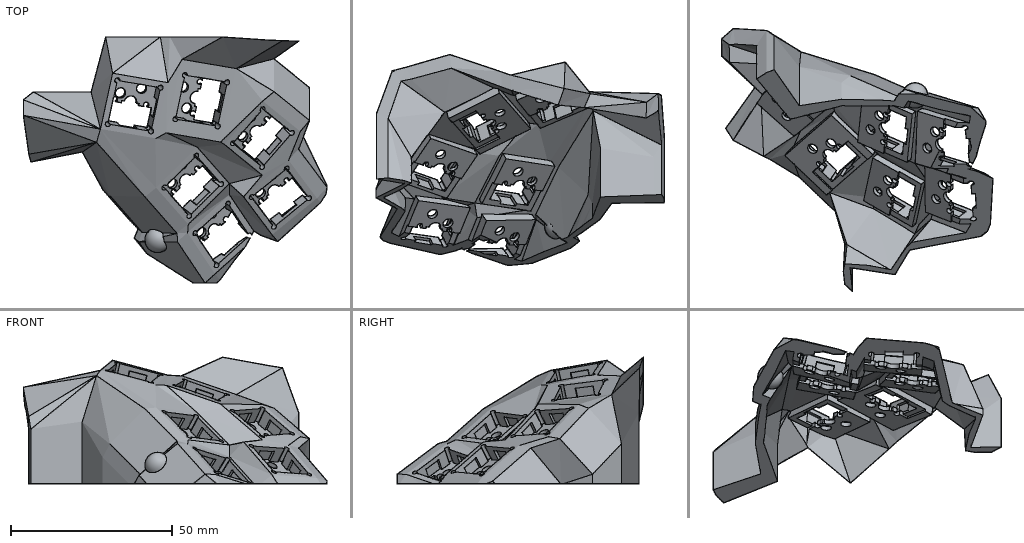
import cadquery as cq

SHELL_THICKNESS = 4.05
DOWNWARD_BIAS = 1.2
KEY_SIZE = 18.0
LONG_KEY_SIZE = 23.5

POCKET_SIZE = 14.0
POCKET_DEPTH = 5.2
HOLDER_DEPTH = 6.6
OPEN_SIDE_DEPTH = 5.9
CORNER_RELIEF_DIAMETER = 1.6
CLIP_WIDTH = 5.65
CLIP_TOP_DEPTH = 1.5
CLIP_RECESS = 0.9
FLOOR_EDGE = -0.7
PIN_HOLE_DIAMETER = 3.2
PIN_HOLES = [(-3.8, 2.4), (2.5, 4.9)]
STEM_HOLE_DIAMETER = 4.0
GUIDE_HOLE_DIAMETER = 1.7
GUIDE_HOLE_OFFSET = 5.1

BALL_RADIUS = 4.0
BALL_CENTER = (41.6, 13.4, 5.8)

FOOT = -7.5
TRIM_WIDTH = 282.6
TRIM_DEPTH = 37.7


def key_plane(center, along_x, along_y):
    """Frame of a key: local x runs along `along_x`, local z leaves the upper face."""
    x_dir = cq.Vector(*along_x)
    return cq.Plane(center, x_dir, x_dir.cross(cq.Vector(*along_y)))


KEYS = {
    "A": key_plane((34.4, 54.9, 34.5), (18.3, -3.1, -4.9), (4.0, 18.5, 3.3)),
    "B": key_plane((55.2, 56.5, 29.1), (5.2, 24.2, 3.1), (-17.8, 2.9, 6.1)),
    "C": key_plane((74.1, 44.9, 19.1), (12.3, 14.1, 1.0), (-12.0, 10.0, 10.4)),
    "D": key_plane((52.6, 30.1, 17.8), (13.4, 13.3, -1.7), (-10.5, 11.6, 10.4)),
    "E": key_plane((61.7, 15.1, 5.65), (13.2, 11.9, -4.1), (-9.2, 13.3, 10.1)),
    "F": key_plane((79.7, 26.5, 7.3), (14.9, 12.1, -1.1), (-9.5, 12.3, 10.8)),
}


def key_length(key):
    return LONG_KEY_SIZE if key == "B" else KEY_SIZE


points = {}
for key, plane in KEYS.items():
    for x_sign, x_name in ((-1, "-"), (1, "+")):
        for y_sign, y_name in ((-1, "-"), (1, "+")):
            local = (x_sign * key_length(key) / 2, y_sign * KEY_SIZE / 2, 0)
            points[key + x_name + y_name] = plane.toWorldCoords(local)


def place(name, x, y, z):
    points[name] = cq.Vector(x, y, z)


def offset(name, source, dx, dy, dz):
    points[name] = points[source] + cq.Vector(dx, dy, dz)


def foot(name, source):
    """Point straight below `source` at the foot of the wall."""
    points[name] = cq.Vector(points[source].x, points[source].y, FOOT)


place("fin back", 3.1, 59.2, 24.9)
place("fin ridge", 0.0, 56.8, 28.5)
place("fin tip", 0.0, 52.0, 29.95)
place("fin end", 1.7, 39.9, 20.9)
place("fin corner", 2.4, 37.5, 17.0)
place("fin shoulder", 22.7, 43.6, 33.5)
place("fin root", 18.3, 40.6, 19.2)
place("fin root low", 18.3, 40.6, 13.75)
foot("fin end foot", "fin end")
foot("fin corner foot", "fin corner")
foot("fin root foot", "fin root")

D_BROW = (-3.5, -2.8, -0.4)
E_BROW = (-3.1, -2.8, 0.1)
D_SLOPE = (-10.8, 0.4, -10.9)
E_SLOPE = (-12.0, 0.0, -9.8)
SKIRT = (-2.3, 1.9, -4.1)
offset("D brow left", "D-+", *D_BROW)
offset("D brow right", "D--", *D_BROW)
offset("E brow left", "E-+", *E_BROW)
offset("E brow right", "E--", *E_BROW)
offset("D slope left", "D brow left", *D_SLOPE)
offset("D slope right", "D brow right", *D_SLOPE)
offset("E slope left", "E brow left", *E_SLOPE)
offset("E slope right", "E brow right", *E_SLOPE)
offset("D skirt left", "D slope left", *SKIRT)
offset("D skirt right", "D slope right", *SKIRT)
offset("E skirt left", "E slope left", *SKIRT)
offset("E skirt right", "E slope right", *SKIRT)
foot("D foot left", "D skirt left")
foot("D foot right", "D skirt right")

F_TOE = (2.1, -2.45, -3.3)
place("E toe left", 61.7, 0.0, -1.4)
offset("E toe right", "E+-", 0.9, -2.1, -2.8)
offset("F toe left", "F--", *F_TOE)
offset("F toe right", "F+-", *F_TOE)

C_BROW_REACH = 4.4
C_BROW_BACK = 7.6
C_BROW_FRONT = -9.4
C_BROW_DROP = 0.8
F_BROW = (3.1, 3.4, -0.85)
C_SLOPE = (0.0, 10.2, -11.0)
F_SLOPE = (-1.1, 9.4, -11.3)
for brow, along_edge in (("C brow back", C_BROW_BACK), ("C brow front", C_BROW_FRONT)):
    local = (KEY_SIZE / 2 + C_BROW_REACH, along_edge, -C_BROW_DROP)
    points[brow] = KEYS["C"].toWorldCoords(local)
offset("F brow back", "F++", *F_BROW)
offset("F brow front", "F+-", *F_BROW)
offset("C slope back", "C brow back", *C_SLOPE)
offset("C slope front", "C brow front", *C_SLOPE)
offset("F slope back", "F brow back", *F_SLOPE)
offset("F slope front", "F brow front", *F_SLOPE)
foot("C foot back", "C slope back")
foot("C foot front", "C slope front")
foot("F foot back", "F slope back")

place("left eave", 21.0, 59.2, 29.4)
place("back left", 25.5, 76.3, 24.4)
place("back valley", 42.5, 76.3, 30.5)
place("back ridge", 45.5, 76.3, 31.9)
place("peak", 61.8, 76.3, 39.3)
place("wing top", 75.7, 75.35, 36.7)
place("wing shoulder", 80.3, 75.2, 36.0)
place("wing tip", 85.4, 75.0, 21.9)
foot("wing foot", "wing tip")

EAVE_SHIFT = (0.0, -1.2, -4.7)
FIN_END_SHIFT = (0.0, 4.05, -4.2)
FIN_CORNER_SHIFT = (1.9, 6.8, -4.2)
FIN_ROOT_SHIFT = (2.4, 5.65, -2.8)
WING_END_SHIFT = (-3.8, 0.0, -1.9)
RIM_SHIFTS = {
    "fin back": (0.8, -2.5, -4.2),
    "fin ridge": (0.5, -2.7, -4.6),
    "fin tip": (0.85, -0.2, -7.2),
    "fin end": FIN_END_SHIFT,
    "fin end foot": FIN_END_SHIFT,
    "fin corner": FIN_CORNER_SHIFT,
    "fin corner foot": FIN_CORNER_SHIFT,
    "fin root": FIN_ROOT_SHIFT,
    "fin root low": FIN_ROOT_SHIFT,
    "fin root foot": FIN_ROOT_SHIFT,
    "left eave": (1.9, 0.0, -4.5),
    "back left": (2.2, -1.2, -4.9),
    "back valley": EAVE_SHIFT,
    "back ridge": EAVE_SHIFT,
    "peak": (-0.5, 0.0, -4.7),
    "wing top": (-1.4, 0.0, -4.2),
    "wing shoulder": (-2.8, 0.0, -3.8),
    "wing tip": WING_END_SHIFT,
    "wing foot": WING_END_SHIFT,
}

KEY_FACETS = [[k + "--", k + "+-", k + "++", k + "-+"] for k in KEYS]
WEB_FACETS = [
    ["A+-", "B-+", "A++"], ["B-+", "B++", "A++"],
    ["A+-", "D++", "B-+"], ["A+-", "D-+", "D++"], ["A--", "D-+", "A+-"],
    ["B-+", "D++", "C-+"], ["B-+", "C-+", "B--"],
    ["B--", "C-+", "C++"], ["B--", "C++", "B+-"],
    ["D++", "C--", "C-+"], ["D++", "D+-", "C--"],
    ["D+-", "F-+", "C--"], ["C--", "F-+", "F++"], ["C--", "F++", "C+-"],
    ["D+-", "E++", "F-+"], ["D--", "E-+", "E++"], ["D--", "E++", "D+-"],
    ["E++", "E+-", "F--"], ["E++", "F--", "F-+"],
]
FIN_FACETS = [
    ["fin back", "A--", "left eave"], ["fin ridge", "A--", "fin back"],
    ["fin tip", "A--", "fin ridge"], ["fin tip", "fin shoulder", "A--"],
    ["fin end", "fin shoulder", "fin tip"], ["fin corner", "fin shoulder", "fin end"],
    ["fin corner", "fin root", "fin shoulder"],
    ["fin end", "fin end foot", "fin corner foot", "fin corner"],
    ["fin corner", "fin corner foot", "fin root low", "fin root"],
    ["fin corner foot", "fin root foot", "fin root low"],
]
FRONT_FACETS = [
    ["A--", "D brow left", "D-+"], ["A--", "fin shoulder", "D brow left"],
    ["fin shoulder", "fin root", "D slope left"],
    ["fin shoulder", "D slope left", "D brow left"],
    ["fin root", "fin root low", "D skirt left"], ["fin root", "D skirt left", "D slope left"],
    ["fin root low", "fin root foot", "D foot left", "D skirt left"],
    ["D-+", "D brow left", "D brow right", "D--"],
    ["D brow left", "D slope left", "D slope right", "D brow right"],
    ["D slope left", "D skirt left", "D skirt right", "D slope right"],
    ["D skirt left", "D foot left", "D foot right", "D skirt right"],
    ["D brow right", "E-+", "D--"], ["D brow right", "E brow left", "E-+"],
    ["D brow right", "D slope right", "E slope left", "E brow left"],
    ["D slope right", "D skirt right", "E skirt left", "E slope left"],
    ["E-+", "E brow left", "E brow right", "E--"],
    ["E brow left", "E slope left", "E slope right", "E brow right"],
    ["E slope left", "E skirt left", "E skirt right", "E slope right"],
    ["E--", "E brow right", "E toe left"], ["E brow right", "E slope right", "E toe left"],
    ["E--", "E toe left", "E toe right", "E+-"],
    ["E+-", "E toe right", "F toe left", "F--"],
    ["F--", "F toe left", "F toe right", "F+-"],
]
RIGHT_FACETS = [
    ["F+-", "F toe right", "F brow front"], ["F+-", "F brow front", "F brow back", "F++"],
    ["F brow front", "F toe right", "F slope front"],
    ["F brow back", "F brow front", "F slope front", "F slope back"],
    ["C+-", "F++", "F brow back"], ["C+-", "F brow back", "C brow front"],
    ["C brow front", "F brow back", "F slope back"],
    ["C brow front", "F slope back", "C slope front"],
    ["C slope front", "F slope back", "F foot back", "C foot front"],
    ["C+-", "C brow front", "C brow back", "C++"],
    ["C brow back", "C brow front", "C slope front", "C slope back"],
    ["C slope back", "C slope front", "C foot front", "C foot back"],
    ["B+-", "C++", "C brow back"], ["B+-", "C brow back", "C slope back"],
]
BACK_FACETS = [
    ["left eave", "A--", "A-+"], ["left eave", "A-+", "back left"],
    ["A-+", "back valley", "back left"], ["A-+", "A++", "back valley"],
    ["A++", "back ridge", "back valley"], ["A++", "B++", "back ridge"],
    ["B++", "peak", "back ridge"], ["B++", "B+-", "peak"],
    ["B+-", "wing top", "peak"], ["B+-", "wing shoulder", "wing top"],
    ["B+-", "wing tip", "wing shoulder"], ["B+-", "C slope back", "wing tip"],
    ["wing tip", "C slope back", "C foot back", "wing foot"],
]


def triangles(facets):
    """Split four-sided facets along their first diagonal."""
    for facet in facets:
        for second, third in zip(facet[1:], facet[2:]):
            yield facet[0], second, third


def facet_normal(facet):
    first, second, third = (points[name] for name in facet)
    return (second - first).cross(third - first).normalized()


def inner_points(facets):
    """Move each corner inwards against the mean facet direction, biased downwards."""
    sums = {name: cq.Vector() for name in points}
    for facet in triangles(facets):
        for name in facet:
            sums[name] += facet_normal(facet)
    inner = {}
    for name, corner in points.items():
        outward = (sums[name].normalized() + cq.Vector(0, 0, DOWNWARD_BIAS)).normalized()
        inner[name] = corner - outward * SHELL_THICKNESS
    for name, shift in RIM_SHIFTS.items():
        inner[name] = points[name] + cq.Vector(*shift)
    return inner


def polygon_face(corners):
    return cq.Face.makeFromWires(cq.Wire.makePolygon(corners, close=True))


def faceted_shell(facets):
    """Closed solid between the outer facets, their inward copies and the open rims."""
    inner = inner_points(facets)
    pieces = list(triangles(facets))
    edges = {(a, b) for piece in pieces for a, b in zip(piece, piece[1:] + piece[:1])}
    faces = []
    for piece in pieces:
        faces.append(polygon_face([points[name] for name in piece]))
        faces.append(polygon_face([inner[name] for name in reversed(piece)]))
    for a, b in sorted(edges):
        if (b, a) not in edges:
            faces.append(polygon_face([points[b], points[a], inner[a]]))
            faces.append(polygon_face([points[b], inner[a], inner[b]]))
    return cq.Solid.makeSolid(cq.Shell.makeShell(faces))


def holder_block(key):
    """Solid block under the upper face of a key."""
    return cq.Workplane(KEYS[key]).rect(key_length(key), KEY_SIZE).extrude(-HOLDER_DEPTH)


def switch_pocket():
    """Everything removed from a holder, in the frame of the key."""
    corner = POCKET_SIZE / 2
    pocket = cq.Workplane().rect(POCKET_SIZE, POCKET_SIZE).extrude(-POCKET_DEPTH)
    reliefs = (
        cq.Workplane().rect(POCKET_SIZE, POCKET_SIZE, forConstruction=True).vertices()
        .circle(CORNER_RELIEF_DIAMETER / 2).extrude(-POCKET_DEPTH)
    )
    clip_length = POCKET_SIZE + 2 * CLIP_RECESS
    clip_plane = cq.Workplane().workplane(offset=-CLIP_TOP_DEPTH)
    clip_height = POCKET_DEPTH - CLIP_TOP_DEPTH
    clips = clip_plane.rect(clip_length, CLIP_WIDTH).extrude(-clip_height)
    clips = clips.union(clip_plane.rect(CLIP_WIDTH, clip_length).extrude(-clip_height))
    through = 2 * HOLDER_DEPTH
    half_opening = (
        cq.Workplane().center(0, (FLOOR_EDGE - corner) / 2)
        .rect(POCKET_SIZE, corner + FLOOR_EDGE).extrude(-through)
    )
    clip_opening = (
        clip_plane.center(0, -clip_length / 4).rect(CLIP_WIDTH, clip_length / 2).extrude(-through)
    )
    underside = (
        cq.Workplane().workplane(offset=-OPEN_SIDE_DEPTH).center(0, (FLOOR_EDGE - KEY_SIZE / 2) / 2)
        .rect(KEY_SIZE, KEY_SIZE / 2 + FLOOR_EDGE).extrude(OPEN_SIDE_DEPTH - through)
    )
    holes = cq.Workplane().pushPoints(PIN_HOLES).circle(PIN_HOLE_DIAMETER / 2).extrude(-through)
    stem = cq.Workplane().circle(STEM_HOLE_DIAMETER / 2).extrude(-through)
    guides = (
        cq.Workplane().pushPoints([(-GUIDE_HOLE_OFFSET, 0), (GUIDE_HOLE_OFFSET, 0)])
        .circle(GUIDE_HOLE_DIAMETER / 2).extrude(-through)
    )
    cutter = pocket
    for tool in (reliefs, clips, half_opening, clip_opening, underside, holes, stem, guides):
        cutter = cutter.union(tool)
    return cutter.val()


def ball():
    return cq.Workplane().sphere(BALL_RADIUS).translate(BALL_CENTER)


body = cq.Workplane(faceted_shell(
    KEY_FACETS + WEB_FACETS + FIN_FACETS + FRONT_FACETS + RIGHT_FACETS + BACK_FACETS
))
for key in KEYS:
    body = body.union(holder_block(key))
body = body.union(ball())

pocket_tool = switch_pocket()
for plane in KEYS.values():
    body = body.cut(cq.Workplane(pocket_tool.moved(plane.location)))

ground_block = cq.Workplane().rect(TRIM_WIDTH, TRIM_WIDTH).extrude(-TRIM_DEPTH)
result = body.cut(ground_block)